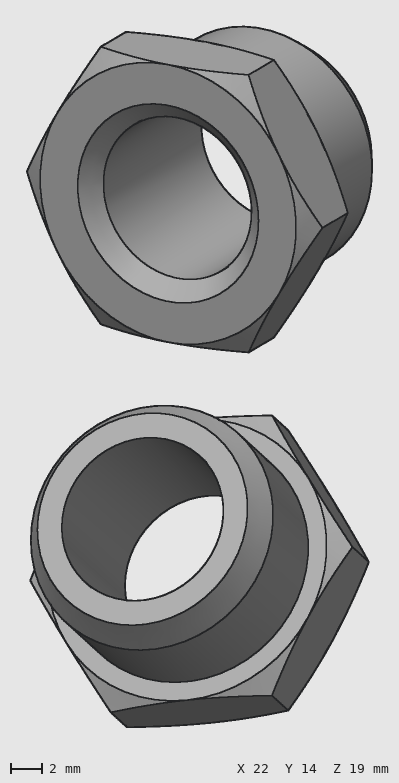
import cadquery as cq
import math

across_corners = 21.95
across_flats = across_corners * math.cos(math.radians(30))
total_length = 14.0
head_thickness = 5.0
shank_diameter = 16.5
tip_diameter = 14.3
bore_diameter = 11.0
countersink_diameter = 13.43
bevel_angle = math.radians(30)

corner_radius = across_corners / 2
flat_radius = across_flats / 2
shank_radius = shank_diameter / 2
tip_radius = tip_diameter / 2
bore_radius = bore_diameter / 2
countersink_radius = countersink_diameter / 2
head_bevel_depth = (corner_radius - flat_radius) * math.tan(bevel_angle)
tip_bevel_length = (shank_radius - tip_radius) / math.tan(bevel_angle)
countersink_depth = countersink_radius - bore_radius


def revolve_about_y(points):
    """Revolve a closed (radius, y) profile about the Y axis."""
    return cq.Workplane("XY").polyline(points).close().revolve(360, (0, 0, 0), (0, 1, 0))


def make_head():
    """Hexagon with corners on X, its corners bevelled on both faces."""
    hexagon = cq.Workplane("XZ").polygon(6, across_corners).extrude(-head_thickness)
    bevel_envelope = revolve_about_y([
        (0, 0),
        (flat_radius, 0),
        (corner_radius, head_bevel_depth),
        (corner_radius, head_thickness - head_bevel_depth),
        (flat_radius, head_thickness),
        (0, head_thickness),
    ])
    return hexagon.intersect(bevel_envelope)


def make_shank():
    """Round shank with a bevelled tip, starting inside the head."""
    return revolve_about_y([
        (0, head_thickness / 2),
        (shank_radius, head_thickness / 2),
        (shank_radius, total_length - tip_bevel_length),
        (tip_radius, total_length),
        (0, total_length),
    ])


def make_bore():
    """Through bore with a countersink at the head face."""
    return revolve_about_y([
        (0, 0),
        (countersink_radius, 0),
        (bore_radius, countersink_depth),
        (bore_radius, total_length),
        (0, total_length),
    ])


result = make_head().union(make_shank()).cut(make_bore())